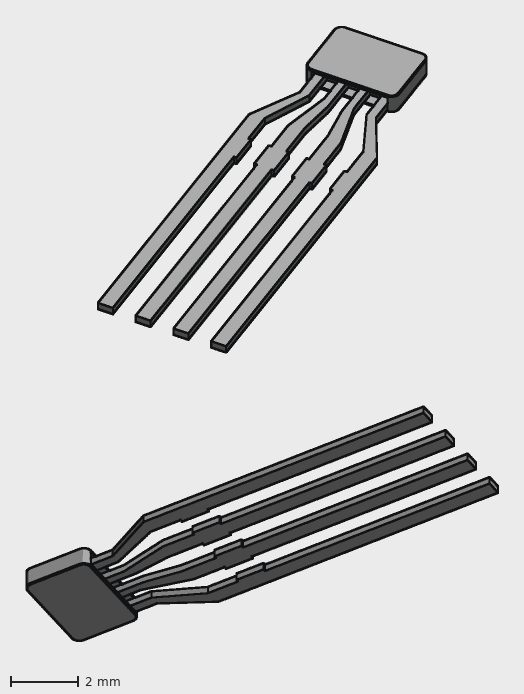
import cadquery as cq

total_length = 14.3
body_width = 3.07
body_length = 2.22
body_height = 0.65
corner_radius = 0.26
edge_chamfer = 0.03

recess_width = body_width - 2 * corner_radius
recess_depth = 0.37
recess_wall = 0.09
recess_height = body_height - 2 * recess_wall

lead_bottom = recess_wall
lead_width = 0.5
lead_thickness = lead_width / 2
overall_lead_span = 4.3
lead_overlap = 0.15
lead_root = recess_depth + lead_overlap
outer_lead_center = (overall_lead_span - lead_width) / 2
inner_lead_center = outer_lead_center / 3

outer_neck_far = recess_width / 2
outer_neck_near = 0.96
inner_neck_far = 0.5
inner_neck_near = 0.23

outer_far_bends = (-0.75, -2.35)
outer_near_bends = (-0.75, -2.29)
inner_far_bends = (-0.67, -2.26)
inner_near_bends = (-0.93, -2.13)

stub_start = -3.33
stub_end = -4.28
stub_height = 0.09

lead_tip = body_length - total_length


def make_body():
    """Rectangular package with rounded corners, chamfered rims and a recessed front."""
    block = (
        cq.Workplane("XY")
        .rect(body_width, body_length)
        .extrude(body_height)
        .translate((0, body_length / 2, 0))
        .edges("|Z")
        .fillet(corner_radius)
        .faces("<Z or >Z")
        .edges()
        .chamfer(edge_chamfer)
    )
    recess = cq.Workplane("XY").box(
        recess_width, recess_depth, recess_height, centered=(True, False, False)
    )
    return block.cut(recess.translate((0, 0, recess_wall)))


def make_lead(center, neck_far, neck_near, far_bends, near_bends, far_stub):
    """Lead on the +X side; 'far' is its edge away from X = 0, 'near' the other."""
    far_x = center + lead_width / 2
    near_x = center - lead_width / 2
    far_edge = [
        (neck_far, lead_root),
        (neck_far, far_bends[0]),
        (far_x, far_bends[1]),
        (far_x, lead_tip),
    ]
    near_edge = [
        (near_x, lead_tip),
        (near_x, near_bends[1]),
        (neck_near, near_bends[0]),
        (neck_near, lead_root),
    ]
    strip = (
        cq.Workplane("XY", origin=(0, 0, lead_bottom))
        .polyline(far_edge + near_edge)
        .close()
        .extrude(lead_thickness)
    )
    stub_near_x = near_x - stub_height
    stub_far_x = far_x + far_stub
    stub = cq.Workplane("XY").box(
        stub_far_x - stub_near_x, stub_start - stub_end, lead_thickness, centered=False
    )
    return strip.union(stub.translate((stub_near_x, stub_end, lead_bottom)))


outer_lead = make_lead(
    outer_lead_center,
    outer_neck_far,
    outer_neck_near,
    outer_far_bends,
    outer_near_bends,
    far_stub=0,
)
inner_lead = make_lead(
    inner_lead_center,
    inner_neck_far,
    inner_neck_near,
    inner_far_bends,
    inner_near_bends,
    far_stub=stub_height,
)

result = make_body()
for lead in (outer_lead, inner_lead):
    result = result.union(lead).union(lead.mirror("YZ"))